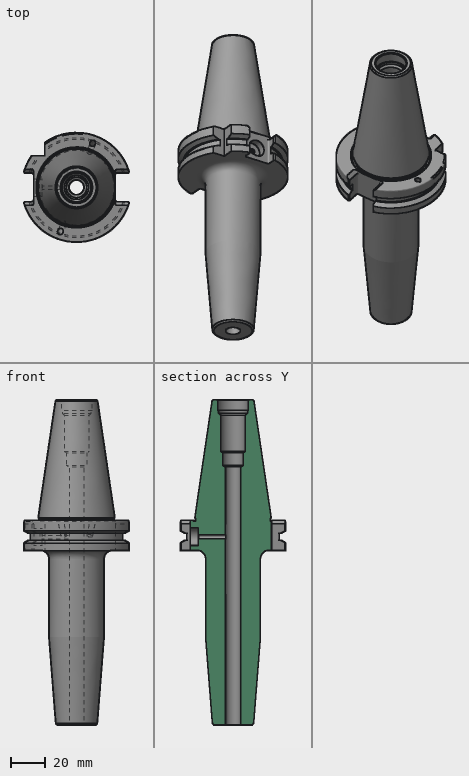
import cadquery as cq
import math

TAPER_LENGTH = 68.25
PROJECTION = 120.0
TOP_Z = TAPER_LENGTH
NOSE_Z = -PROJECTION

GAUGE_RADIUS = 44.45 / 2
TAPER_SLOPE = 7 / 48
TAPER_TOP_RADIUS = GAUGE_RADIUS - TAPER_SLOPE * TAPER_LENGTH
TAPER_TOP_CHAMFER = 0.9
RELIEF_RADIUS = 21.6
RELIEF_HEIGHT = 0.5
RELIEF_DEPTH = 0.5
RELIEF_OUTER_RADIUS = 23.4

FLANGE_RADIUS = 63.5 / 2
FLANGE_TOP_Z = -1.4
FLANGE_BOTTOM_Z = -19.05
FLANGE_EDGE_ROUND = 0.8
GROOVE_Z = -11.1
GROOVE_WIDTH = 7.2
GROOVE_FLANK_END_RADIUS = 28.9
GROOVE_FLOOR_RADIUS = 28.0
GROOVE_FLANK_ANGLE = 30.0

BODY_RADIUS = 16.0
SHOULDER_FILLET = 4.8
NOSE_START_Z = -69.0
NOSE_ANGLE = 4.4
NOSE_CHAMFER = 1.0

MOUTH_RADIUS = 9.3
COUNTERBORE_RADIUS = 8.8
COUNTERBORE_DEPTH = 6.2
PILOT_RADIUS = 8.3
PILOT_DEPTH = 7.8
THREAD_RADIUS = 7.0
THREAD_DEPTH = 30.0
STEP_RADIUS = 5.9
STEP_DEPTH = 38.0
THROUGH_RADIUS = 4.25
DRILL_POINT_SLOPE = math.tan(math.radians(31))

SLOT_WIDTH = 16.4
SLOT_FLOOR_LEFT = -24.8
SLOT_FLOOR_RIGHT = 22.4
SLOT_ROOT_FILLET = 1.0
SLOT_TOP_CHAMFER = 2.2
SLOT_MOUTH_CHAMFER = 0.7

NOTCH_EDGE = 18.4
POCKET_RADIUS = 5.0
POCKET_DEPTH = 4.6
CROSS_HOLE_RADIUS = 1.0
CROSS_HOLE_MOUTH_RADIUS = 1.5
COOLANT_HOLE_RADIUS = 1.6
COOLANT_HOLE_X = 9.3
COOLANT_HOLE_Y = 25.5
COOLANT_HOLE_LENGTH = 12.0
COOLANT_HOLE_TILT = 30.0


def make_body():
    """Outer turned shape, revolved from its half profile."""
    flank = (FLANGE_RADIUS - GROOVE_FLANK_END_RADIUS) * math.tan(math.radians(GROOVE_FLANK_ANGLE))
    groove_top = GROOVE_Z + GROOVE_WIDTH / 2
    groove_bottom = GROOVE_Z - GROOVE_WIDTH / 2
    nose_end_radius = BODY_RADIUS - (NOSE_START_Z - NOSE_Z) * math.tan(math.radians(NOSE_ANGLE))
    profile = (
        cq.Workplane("XZ")
        .moveTo(0, NOSE_Z)
        .lineTo(nose_end_radius - NOSE_CHAMFER, NOSE_Z)
        .lineTo(nose_end_radius, NOSE_Z + NOSE_CHAMFER)
        .lineTo(BODY_RADIUS, NOSE_START_Z)
        .lineTo(BODY_RADIUS, FLANGE_BOTTOM_Z - SHOULDER_FILLET)
        .tangentArcPoint((SHOULDER_FILLET, SHOULDER_FILLET))
        .lineTo(FLANGE_RADIUS, FLANGE_BOTTOM_Z)
        .lineTo(FLANGE_RADIUS, groove_bottom)
        .lineTo(GROOVE_FLANK_END_RADIUS, groove_bottom + flank)
        .lineTo(GROOVE_FLOOR_RADIUS, groove_bottom + flank)
        .lineTo(GROOVE_FLOOR_RADIUS, groove_top - flank)
        .lineTo(GROOVE_FLANK_END_RADIUS, groove_top - flank)
        .lineTo(FLANGE_RADIUS, groove_top)
        .lineTo(FLANGE_RADIUS, FLANGE_TOP_Z - FLANGE_EDGE_ROUND)
        .tangentArcPoint((-FLANGE_EDGE_ROUND, FLANGE_EDGE_ROUND))
        .lineTo(RELIEF_OUTER_RADIUS, FLANGE_TOP_Z)
        .lineTo(RELIEF_OUTER_RADIUS - RELIEF_DEPTH, FLANGE_TOP_Z - RELIEF_DEPTH)
        .lineTo(RELIEF_RADIUS, FLANGE_TOP_Z - RELIEF_DEPTH)
        .lineTo(RELIEF_RADIUS, FLANGE_TOP_Z + RELIEF_HEIGHT)
        .lineTo(GAUGE_RADIUS, 0)
        .lineTo(TAPER_TOP_RADIUS, TOP_Z - TAPER_TOP_CHAMFER)
        .lineTo(TAPER_TOP_RADIUS - TAPER_TOP_CHAMFER, TOP_Z)
        .lineTo(0, TOP_Z)
        .close()
    )
    return profile.revolve(360, (0, 0, 0), (0, 1, 0))


def make_bore():
    """Stepped axial bore, narrowing downwards from the taper end."""
    mouth_chamfer = MOUTH_RADIUS - COUNTERBORE_RADIUS
    thread_lead = PILOT_RADIUS - THREAD_RADIUS
    thread_point = (THREAD_RADIUS - STEP_RADIUS) * DRILL_POINT_SLOPE
    step_point = (STEP_RADIUS - THROUGH_RADIUS) * DRILL_POINT_SLOPE
    profile = (
        cq.Workplane("XZ")
        .moveTo(0, TOP_Z)
        .lineTo(MOUTH_RADIUS, TOP_Z)
        .lineTo(COUNTERBORE_RADIUS, TOP_Z - mouth_chamfer)
        .lineTo(COUNTERBORE_RADIUS, TOP_Z - COUNTERBORE_DEPTH)
        .lineTo(PILOT_RADIUS, TOP_Z - COUNTERBORE_DEPTH)
        .lineTo(PILOT_RADIUS, TOP_Z - PILOT_DEPTH)
        .lineTo(THREAD_RADIUS, TOP_Z - PILOT_DEPTH - thread_lead)
        .lineTo(THREAD_RADIUS, TOP_Z - THREAD_DEPTH)
        .lineTo(STEP_RADIUS, TOP_Z - THREAD_DEPTH - thread_point)
        .lineTo(STEP_RADIUS, TOP_Z - STEP_DEPTH)
        .lineTo(THROUGH_RADIUS, TOP_Z - STEP_DEPTH - step_point)
        .lineTo(THROUGH_RADIUS, NOSE_Z)
        .lineTo(0, NOSE_Z)
        .close()
    )
    return profile.revolve(360, (0, 0, 0), (0, 1, 0))


def make_slot(floor_x):
    """Drive slot cutter, running outwards from its floor at floor_x."""
    side = math.copysign(1, floor_x)
    half_width = SLOT_WIDTH / 2
    flared_half_width = half_width + SLOT_TOP_CHAMFER
    chamfer_z = FLANGE_TOP_Z - SLOT_TOP_CHAMFER
    channel = (
        cq.Workplane("YZ", origin=(floor_x, 0, 0))
        .moveTo(-half_width, FLANGE_BOTTOM_Z)
        .lineTo(half_width, FLANGE_BOTTOM_Z)
        .lineTo(half_width, chamfer_z)
        .lineTo(flared_half_width, FLANGE_TOP_Z)
        .lineTo(-flared_half_width, FLANGE_TOP_Z)
        .lineTo(-half_width, chamfer_z)
        .close()
        .extrude(side * (FLANGE_RADIUS - abs(floor_x)))
        .faces("<X" if side > 0 else ">X")
        .edges("not |Y")
        .fillet(SLOT_ROOT_FILLET)
    )
    rim_y = half_width + SLOT_MOUTH_CHAMFER
    rim_x = math.sqrt(FLANGE_RADIUS**2 - rim_y**2)
    reach = FLANGE_RADIUS - rim_x
    mouth = (
        cq.Workplane("XY", origin=(0, 0, FLANGE_BOTTOM_Z))
        .moveTo(side * (rim_x - SLOT_MOUTH_CHAMFER), -half_width)
        .lineTo(side * FLANGE_RADIUS, -rim_y - reach)
        .lineTo(side * FLANGE_RADIUS, rim_y + reach)
        .lineTo(side * (rim_x - SLOT_MOUTH_CHAMFER), half_width)
        .close()
        .extrude(FLANGE_TOP_Z - FLANGE_BOTTOM_Z)
    )
    return channel.union(mouth)


def make_notch():
    """Orientation notch: a square corner removed from the flange at -X, +Y."""
    size = FLANGE_RADIUS
    height = FLANGE_TOP_Z - FLANGE_BOTTOM_Z
    return cq.Workplane("XY").box(size, size, height, centered=False).translate(
        (-NOTCH_EDGE - size, NOTCH_EDGE, FLANGE_BOTTOM_Z)
    )


def make_side_pocket():
    """Round pocket in the -X slot floor with a small countersunk hole on into the bore."""
    pocket_floor_x = SLOT_FLOOR_LEFT + POCKET_DEPTH
    countersink_depth = CROSS_HOLE_MOUTH_RADIUS - CROSS_HOLE_RADIUS
    profile = (
        cq.Workplane("XZ")
        .moveTo(SLOT_FLOOR_LEFT, GROOVE_Z)
        .lineTo(SLOT_FLOOR_LEFT, GROOVE_Z + POCKET_RADIUS)
        .lineTo(pocket_floor_x, GROOVE_Z + POCKET_RADIUS)
        .lineTo(pocket_floor_x, GROOVE_Z + CROSS_HOLE_MOUTH_RADIUS)
        .lineTo(pocket_floor_x + countersink_depth, GROOVE_Z + CROSS_HOLE_RADIUS)
        .lineTo(0, GROOVE_Z + CROSS_HOLE_RADIUS)
        .lineTo(0, GROOVE_Z)
        .close()
    )
    return profile.revolve(360, (0, GROOVE_Z, 0), (1, GROOVE_Z, 0))


def make_coolant_hole(side):
    """Blind hole entering the flange top and leaning towards the axis as it descends."""
    entry = cq.Vector(side * COOLANT_HOLE_X, side * COOLANT_HOLE_Y, FLANGE_TOP_Z)
    tilt = math.radians(COOLANT_HOLE_TILT)
    inward = cq.Vector(-entry.x, -entry.y, 0).normalized()
    direction = inward * math.sin(tilt) - cq.Vector(0, 0, math.cos(tilt))
    start = entry - direction * COOLANT_HOLE_RADIUS
    return cq.Solid.makeCylinder(COOLANT_HOLE_RADIUS, COOLANT_HOLE_LENGTH, start, direction)


result = make_body().cut(make_bore())
for slot_floor in (SLOT_FLOOR_LEFT, SLOT_FLOOR_RIGHT):
    result = result.cut(make_slot(slot_floor))
result = result.cut(make_notch()).cut(make_side_pocket())
for hole_side in (1, -1):
    result = result.cut(make_coolant_hole(hole_side))